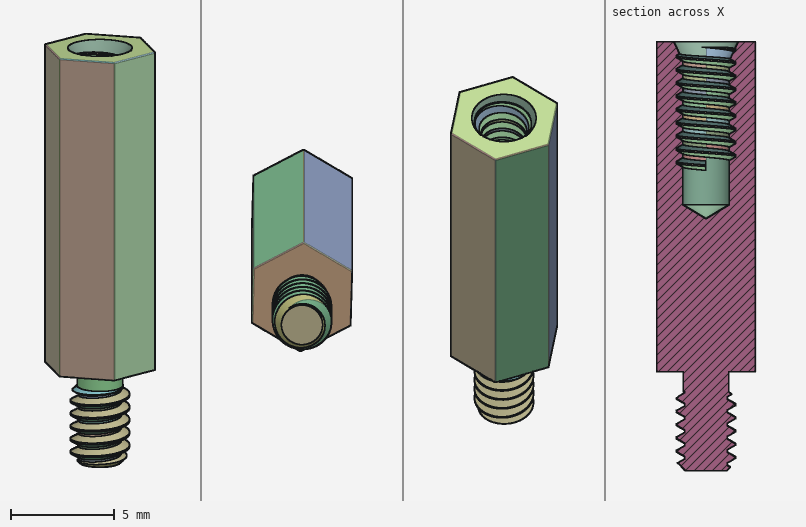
import cadquery as cq
import math

TOTAL_LENGTH = 20.65
STUD_LENGTH = 4.77
ACROSS_FLATS = 4.77
EDGE_RADIUS = 0.052
NECK_LENGTH = 0.95
thread_top = STUD_LENGTH - NECK_LENGTH

MAJOR_RADIUS = 1.42
MINOR_DIAMETER = 2.2
MINOR_RADIUS = MINOR_DIAMETER / 2
TURNS = 6
PITCH = thread_top / TURNS
CREST_WIDTH = PITCH / 8
FLANK_ANGLE = 30
RIDGE_OVERLAP = 0.052

TIP_RADIUS = 1.0
STUD_ROOT_RADIUS = 1.03
ENVELOPE_MARGIN = 0.1
STUD_THREAD_START = -0.47

ENTRY_RADIUS = 1.55
ENTRY_DEPTH = 0.95
HOLE_DEPTH = 7.85
HOLE_THREAD_START = 14.68
HOLE_THREAD_LENGTH = 5.88
DRILL_POINT_ANGLE = 118


def thread_ridge(start_height, length, root_radius):
    """Right-handed helical ridge of trapezoidal section, starting on the +X side."""
    half_crest = CREST_WIDTH / 2
    half_root = half_crest + (MAJOR_RADIUS - root_radius) * math.tan(math.radians(FLANK_ANGLE))
    section = [
        (root_radius, -half_root),
        (MAJOR_RADIUS, -half_crest),
        (MAJOR_RADIUS, half_crest),
        (root_radius, half_root),
    ]
    helices = []
    for radius, height in section:
        helix = cq.Wire.makeHelix(PITCH, length, radius)
        helices.append(helix.translate(cq.Vector(0, 0, start_height + height)))
    faces = []
    for helix, next_helix in zip(helices, helices[1:] + helices[:1]):
        faces.append(cq.Face.makeRuledSurface(helix, next_helix))
    for end in (0, 1):
        corners = [helix.positionAt(end) for helix in helices]
        faces.append(cq.Face.makeFromWires(cq.Wire.makePolygon(corners, close=True)))
    return cq.Workplane(cq.Solid.makeSolid(cq.Shell.makeShell(faces)))


def turned(points):
    """Solid of revolution about Z from (radius, height) points."""
    return cq.Workplane("XZ").polyline(points).close().revolve(360, (0, 0), (0, 1))


def make_body():
    across_corners = ACROSS_FLATS / math.cos(math.pi / 6)
    return (
        cq.Workplane("XY", origin=(0, 0, STUD_LENGTH))
        .polygon(6, across_corners)
        .extrude(TOTAL_LENGTH - STUD_LENGTH)
        .edges()
        .fillet(EDGE_RADIUS)
    )


def make_stud():
    envelope_radius = MAJOR_RADIUS + ENVELOPE_MARGIN
    tip_bevel = envelope_radius - TIP_RADIUS
    top_bevel = envelope_radius - MINOR_RADIUS
    envelope = turned([
        (0, 0),
        (TIP_RADIUS, 0),
        (envelope_radius, tip_bevel),
        (envelope_radius, thread_top - top_bevel),
        (MINOR_RADIUS, thread_top),
        (0, thread_top),
    ])
    core = cq.Workplane("XY").circle(STUD_ROOT_RADIUS).extrude(thread_top)
    neck = (
        cq.Workplane("XY", origin=(0, 0, thread_top))
        .circle(MINOR_RADIUS)
        .extrude(NECK_LENGTH)
    )
    ridge_length = thread_top + PITCH - STUD_THREAD_START
    threaded = core.union(thread_ridge(STUD_THREAD_START, ridge_length, STUD_ROOT_RADIUS - RIDGE_OVERLAP))
    return threaded.intersect(envelope).union(neck)


def make_hole():
    floor = TOTAL_LENGTH - HOLE_DEPTH
    point_depth = MINOR_RADIUS / math.tan(math.radians(DRILL_POINT_ANGLE / 2))
    return turned([
        (0, floor - point_depth),
        (MINOR_RADIUS, floor),
        (MINOR_RADIUS, TOTAL_LENGTH - ENTRY_DEPTH),
        (ENTRY_RADIUS, TOTAL_LENGTH),
        (0, TOTAL_LENGTH),
    ])


def make_hole_thread():
    """Groove that runs out into the countersunk entry of the hole."""
    return thread_ridge(HOLE_THREAD_START, HOLE_THREAD_LENGTH, MINOR_RADIUS - RIDGE_OVERLAP)


result = make_body().union(make_stud()).cut(make_hole()).cut(make_hole_thread())